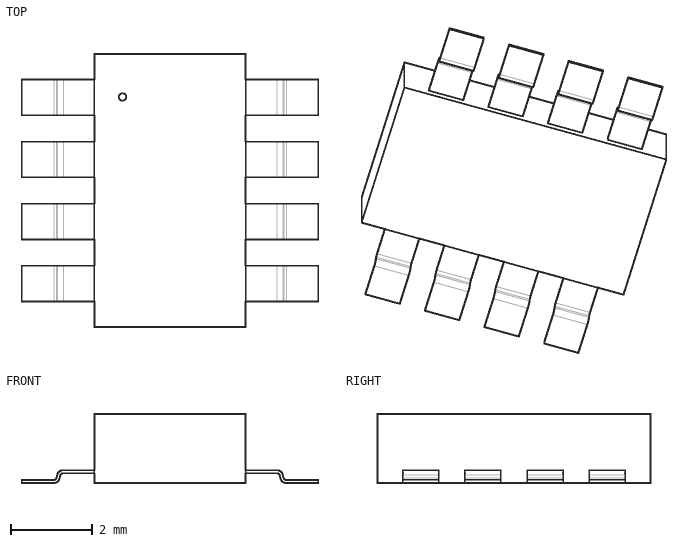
import cadquery as cq
import math

HOUSING_LENGTH_X = 3.72
HOUSING_WIDTH_Y = 6.71
HOUSING_HEIGHT = 1.7

OVERALL_SPAN_X = 7.29
LEADS_PER_SIDE = 4
LEAD_PITCH = 1.52
LEAD_WIDTH = 0.88
LEAD_THICKNESS = 0.08
LEAD_TOP_Z = 0.32
FOOT_LENGTH = 0.79
INNER_BEND_RADIUS = 0.07
OUTER_BEND_RADIUS = INNER_BEND_RADIUS + LEAD_THICKNESS
BEND_ANGLE = math.radians(77)

MARKER_DIAMETER = 0.18
MARKER_DEPTH = 0.04
MARKER_FROM_SIDE = 0.69
MARKER_FROM_END = 1.06

MARKER_X = MARKER_FROM_SIDE - HOUSING_LENGTH_X / 2
MARKER_Y = HOUSING_WIDTH_Y / 2 - MARKER_FROM_END


def make_marker():
    """Disc whose top face is level with the housing top; it also cuts its own recess."""
    return (
        cq.Workplane("XY", origin=(MARKER_X, MARKER_Y, HOUSING_HEIGHT - MARKER_DEPTH))
        .circle(MARKER_DIAMETER / 2)
        .extrude(MARKER_DEPTH)
    )


def make_housing():
    """Plain block with the marker recess in its top face."""
    block = cq.Workplane("XY").box(
        HOUSING_LENGTH_X, HOUSING_WIDTH_Y, HOUSING_HEIGHT, centered=(True, True, False)
    )
    return block.cut(make_marker())


def bend_point(centre, radius, angle):
    """Point on a bend, with the angle measured from straight down toward +X."""
    return (
        centre[0] + radius * math.sin(angle),
        centre[1] - radius * math.cos(angle),
    )


def make_lead(centre_y):
    """Lead on the -X side: foot, lower bend, sloping web, upper bend and shoulder."""
    tip_x = -OVERALL_SPAN_X / 2
    root_x = -HOUSING_LENGTH_X / 2

    radius_sum = INNER_BEND_RADIUS + OUTER_BEND_RADIUS
    rise = LEAD_TOP_Z - LEAD_THICKNESS
    web_length = (rise - radius_sum * (1 - math.cos(BEND_ANGLE))) / math.sin(BEND_ANGLE)
    bend_run = radius_sum * math.sin(BEND_ANGLE) + web_length * math.cos(BEND_ANGLE)

    lower = (tip_x + FOOT_LENGTH, OUTER_BEND_RADIUS)
    upper = (lower[0] + bend_run, LEAD_TOP_Z - OUTER_BEND_RADIUS)
    half_bend = BEND_ANGLE / 2
    upward = math.pi

    return (
        cq.Workplane("XZ", origin=(0, centre_y + LEAD_WIDTH / 2, 0))
        .moveTo(tip_x, 0)
        .lineTo(lower[0], 0)
        .threePointArc(
            bend_point(lower, OUTER_BEND_RADIUS, half_bend),
            bend_point(lower, OUTER_BEND_RADIUS, BEND_ANGLE),
        )
        .lineTo(*bend_point(upper, INNER_BEND_RADIUS, upward + BEND_ANGLE))
        .threePointArc(
            bend_point(upper, INNER_BEND_RADIUS, upward + half_bend),
            bend_point(upper, INNER_BEND_RADIUS, upward),
        )
        .lineTo(root_x, LEAD_TOP_Z - LEAD_THICKNESS)
        .lineTo(root_x, LEAD_TOP_Z)
        .lineTo(upper[0], LEAD_TOP_Z)
        .threePointArc(
            bend_point(upper, OUTER_BEND_RADIUS, upward + half_bend),
            bend_point(upper, OUTER_BEND_RADIUS, upward + BEND_ANGLE),
        )
        .lineTo(*bend_point(lower, INNER_BEND_RADIUS, BEND_ANGLE))
        .threePointArc(
            bend_point(lower, INNER_BEND_RADIUS, half_bend),
            bend_point(lower, INNER_BEND_RADIUS, 0),
        )
        .lineTo(tip_x, LEAD_THICKNESS)
        .close()
        .extrude(LEAD_WIDTH)
    )


def make_leads():
    """Two mirrored rows of leads, centred along the housing."""
    leads = []
    for index in range(LEADS_PER_SIDE):
        centre_y = (index - (LEADS_PER_SIDE - 1) / 2) * LEAD_PITCH
        lead = make_lead(centre_y)
        leads.append(lead.val())
        leads.append(lead.mirror("YZ").val())
    return leads


housing = make_housing()
marker = make_marker()
leads = make_leads()

result = cq.Compound.makeCompound([housing.val(), marker.val(), *leads])